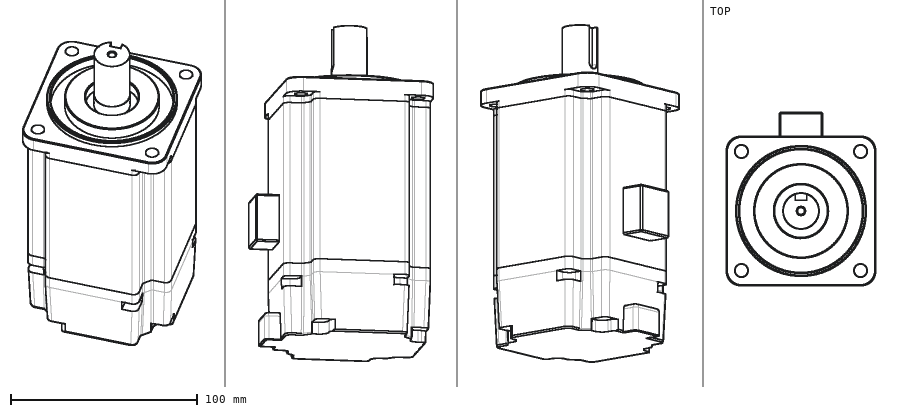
import cadquery as cq
import math


OVERSIZE = 3.5

TOTAL_HEIGHT = 173.3
SHAFT_LENGTH = 35.0
PILOT_HEIGHT = 3.0
BOSS_HEIGHT = 4.0
PLATE_THICKNESS = 8.0
FLANGE_TOP = TOTAL_HEIGHT - SHAFT_LENGTH
PLATE_BOTTOM = FLANGE_TOP - PLATE_THICKNESS
PILOT_TOP = FLANGE_TOP + PILOT_HEIGHT
BOSS_TOP = FLANGE_TOP + BOSS_HEIGHT
STATOR_TOP = 126.7
STATOR_BOTTOM = 39.0
BAND_BOTTOM = 32.0

FRAME_SIZE = 80.0
HALF_FRAME = FRAME_SIZE / 2
CHANNEL_WALL = 26.2
CHANNEL_ROOT = 30.0
CHANNEL_EDGE_RADIUS = 3.1
CHANNEL_ROOT_RADIUS = 1.7

PLATE_CORNER_RADIUS = 8.0
EDGE_CHAMFER = 0.5
BOLT_HOLE_DIAMETER = 7.0
BOLT_SPACING = 63.8
PILOT_RADIUS = 35.0
PILOT_INNER_RADIUS = 33.0
PILOT_GROOVE_FLOOR = 135.5
BOSS_RADIUS = 25.3
BOSS_BORE_RADIUS = 14.2
BOSS_BORE_FLOOR = 136.2

COLLAR_RADIUS = 9.7
COLLAR_TOP = 143.8
SHAFT_RADIUS = 9.5
KEYWAY_WIDTH = 6.0
KEYWAY_FLOOR = 5.9
KEYWAY_LENGTH = 23.2
CENTRE_HOLE_RADIUS = 1.9
CENTRE_HOLE_DEPTH = 10.0
COUNTERSINK_RADIUS = 2.5

CONNECTOR_WIDTH = 23.4
CONNECTOR_REACH = 52.9
CONNECTOR_BOTTOM = 53.4
CONNECTOR_TOP = 79.2
CONNECTOR_CHAMFER = 0.9

DRAFT_ANGLE = 2.0
POCKET_START = 17.3
POCKET_RADIUS = 4.9
REAR_EDGE_HEIGHT = 1.0
REAR_EDGE_INSET = 0.3
SCREW_POCKET_BOTTOM = 26.5
SCREW_POCKET_FLOOR = 30.5
FOOT_POCKET_HEIGHT = 6.4
FOOT_POCKET_FLOOR = 29.3
FOOT_POCKET_END = 25.5
FOOT_MOUTH_RADIUS = 2.8
SIGNAL_BOX_WIDTH = 20.8
SIGNAL_BOX_REACH = 47.8
SIGNAL_BOX_HEIGHT = 15.0
SIGNAL_BOX_RADIUS = 2.0


def quarter_turns(shape):
    """Copies of a Workplane shape at the four quarter turns about Z."""
    return [shape.rotate((0, 0, 0), (0, 0, 1), 90 * i) for i in range(4)]


def box_between(x_range, y_range, z_range):
    """Axis-aligned block between the given limits."""
    size = [limits[1] - limits[0] for limits in (x_range, y_range, z_range)]
    corner = (x_range[0], y_range[0], z_range[0])
    return cq.Workplane("XY").box(*size, centered=False).translate(corner)


def frame_outline(z, inset=0):
    """Closed frame outline at height z, its sides and channel walls moved inward by inset."""
    half_size = HALF_FRAME - inset
    edge = CHANNEL_EDGE_RADIUS
    wall = CHANNEL_WALL - inset
    root = CHANNEL_ROOT
    setback = CHANNEL_ROOT_RADIUS * math.tan(math.radians(22.5))
    diagonal = setback * math.sqrt(0.5)
    corner = [
        (half_size, wall - edge),
        (half_size - edge, wall),
        (root + setback, wall),
        (root - diagonal, wall + diagonal),
        (wall + diagonal, root - diagonal),
        (wall, root + setback),
        (wall, half_size - edge),
        (wall - edge, half_size),
    ]
    start_x, start_y = corner[-1]
    outline = cq.Workplane("XY", origin=(0, 0, z)).moveTo(start_y, -start_x)
    for turn in range(4):
        cos, sin = [(1, 0), (0, 1), (-1, 0), (0, -1)][turn]
        points = [(x * cos - y * sin, x * sin + y * cos) for x, y in corner]
        for line_end, arc_end in zip(points[0::2], points[1::2]):
            outline = outline.lineTo(*line_end).tangentArcPoint(arc_end, relative=False)
    return outline.close()


def frame_prism(bottom, top):
    """Straight length of the frame."""
    return frame_outline(bottom).extrude(top - bottom)


def make_flange_plate():
    """Square mounting plate on a short length of frame."""
    plate = (
        cq.Workplane("XY", origin=(0, 0, PLATE_BOTTOM))
        .rect(FRAME_SIZE, FRAME_SIZE)
        .extrude(PLATE_THICKNESS)
        .edges("|Z")
        .fillet(PLATE_CORNER_RADIUS)
        .faces(">Z")
        .chamfer(EDGE_CHAMFER)
    )
    bolt_holes = (
        cq.Workplane("XY", origin=(0, 0, PLATE_BOTTOM))
        .rect(BOLT_SPACING, BOLT_SPACING, forConstruction=True)
        .vertices()
        .circle(BOLT_HOLE_DIAMETER / 2)
        .extrude(PLATE_THICKNESS)
    )
    return plate.cut(bolt_holes).union(frame_prism(STATOR_TOP, PLATE_BOTTOM))


def make_pilot_face():
    """Revolved front face: pilot ring, groove, central boss and its bore floor."""
    c = EDGE_CHAMFER
    half_section = [
        (0, PLATE_BOTTOM),
        (PILOT_RADIUS, PLATE_BOTTOM),
        (PILOT_RADIUS, PILOT_TOP - c),
        (PILOT_RADIUS - c, PILOT_TOP),
        (PILOT_INNER_RADIUS + c, PILOT_TOP),
        (PILOT_INNER_RADIUS, PILOT_TOP - c),
        (PILOT_INNER_RADIUS, PILOT_GROOVE_FLOOR),
        (BOSS_RADIUS, PILOT_GROOVE_FLOOR),
        (BOSS_RADIUS, BOSS_TOP - c),
        (BOSS_RADIUS - c, BOSS_TOP),
        (BOSS_BORE_RADIUS + c, BOSS_TOP),
        (BOSS_BORE_RADIUS, BOSS_TOP - c),
        (BOSS_BORE_RADIUS, BOSS_BORE_FLOOR),
        (0, BOSS_BORE_FLOOR),
    ]
    return cq.Workplane("XZ").polyline(half_section).close().revolve(360, (0, 0), (0, 1))


def make_keyway():
    """Round-ended keyway tool on the +Y side, open at the shaft end."""
    half_width = KEYWAY_WIDTH / 2
    end_centre = TOTAL_HEIGHT - KEYWAY_LENGTH + half_width
    return (
        cq.Workplane("XZ", origin=(0, KEYWAY_FLOOR, 0))
        .moveTo(-half_width, TOTAL_HEIGHT)
        .lineTo(-half_width, end_centre)
        .threePointArc((0, end_centre - half_width), (half_width, end_centre))
        .lineTo(half_width, TOTAL_HEIGHT)
        .close()
        .extrude(-SHAFT_RADIUS)
    )


def make_centre_hole():
    """Countersunk hole tool with a conical tip in the shaft end."""
    countersink_depth = COUNTERSINK_RADIUS - CENTRE_HOLE_RADIUS
    hole_bottom = TOTAL_HEIGHT - CENTRE_HOLE_DEPTH
    half_section = [
        (0, TOTAL_HEIGHT),
        (COUNTERSINK_RADIUS, TOTAL_HEIGHT),
        (CENTRE_HOLE_RADIUS, TOTAL_HEIGHT - countersink_depth),
        (CENTRE_HOLE_RADIUS, hole_bottom),
        (0, hole_bottom - CENTRE_HOLE_RADIUS),
    ]
    return cq.Workplane("XZ").polyline(half_section).close().revolve(360, (0, 0), (0, 1))


def make_shaft():
    """Output shaft with a slightly wider collar rising from the bore floor of the boss."""
    collar = (
        cq.Workplane("XY", origin=(0, 0, BOSS_BORE_FLOOR))
        .circle(COLLAR_RADIUS)
        .extrude(COLLAR_TOP - BOSS_BORE_FLOOR)
    )
    shaft = (
        cq.Workplane("XY", origin=(0, 0, COLLAR_TOP))
        .circle(SHAFT_RADIUS)
        .extrude(TOTAL_HEIGHT - COLLAR_TOP)
    )
    return collar.union(shaft).cut(make_keyway()).cut(make_centre_hole())


def make_front_flange():
    """Front flange and shaft as one body."""
    groove_clearance = (
        cq.Workplane("XY", origin=(0, 0, PILOT_GROOVE_FLOOR))
        .circle(PILOT_INNER_RADIUS)
        .extrude(PLATE_THICKNESS)
    )
    plate = make_flange_plate().cut(groove_clearance)
    return plate.union(make_pilot_face()).union(make_shaft())


def make_stator():
    """Stator frame carrying the power connector block."""
    connector = (
        box_between(
            (-CONNECTOR_WIDTH / 2, CONNECTOR_WIDTH / 2),
            (0, CONNECTOR_REACH),
            (CONNECTOR_BOTTOM, CONNECTOR_TOP),
        )
        .edges("|Y or >Y")
        .chamfer(CONNECTOR_CHAMFER)
    )
    return frame_prism(STATOR_BOTTOM, STATOR_TOP).union(connector)


def draft_inset(z):
    """Inward shift of the drafted cover sides at height z."""
    return (BAND_BOTTOM - z) * math.tan(math.radians(DRAFT_ANGLE))


def make_cover_shell():
    """Rear cover block: straight band, drafted main part and a narrow bevel round the rear edge."""
    outlines = [
        frame_outline(0, draft_inset(0) + REAR_EDGE_INSET),
        frame_outline(REAR_EDGE_HEIGHT, draft_inset(REAR_EDGE_HEIGHT)),
        frame_outline(BAND_BOTTOM),
        frame_outline(STATOR_BOTTOM),
    ]
    wires = [outline.val() for outline in outlines]
    return cq.Workplane(cq.Solid.makeLoft(wires, True))


def make_screw_pocket():
    """Pocket tool at the +X end of the -Y side, just under the straight band."""
    return (
        box_between(
            (POCKET_START, CHANNEL_WALL + OVERSIZE),
            (-HALF_FRAME - OVERSIZE, -SCREW_POCKET_FLOOR),
            (SCREW_POCKET_BOTTOM, BAND_BOTTOM),
        )
        .edges("|Z and <X and >Y")
        .fillet(POCKET_RADIUS)
    )


def make_foot_pocket():
    """Pocket tool at the -X end of the -Y side, open at the rear, with a flared mouth."""
    rear_side = -HALF_FRAME + draft_inset(0)
    flare_end = -POCKET_START + FOOT_MOUTH_RADIUS
    open_end = -FOOT_POCKET_END
    return (
        cq.Workplane("XY")
        .moveTo(open_end, -FOOT_POCKET_FLOOR)
        .lineTo(-POCKET_START - POCKET_RADIUS, -FOOT_POCKET_FLOOR)
        .tangentArcPoint((-POCKET_START, -FOOT_POCKET_FLOOR - POCKET_RADIUS), relative=False)
        .lineTo(-POCKET_START, rear_side + FOOT_MOUTH_RADIUS)
        .tangentArcPoint((flare_end, rear_side), relative=False)
        .lineTo(flare_end, -HALF_FRAME - OVERSIZE)
        .lineTo(open_end, -HALF_FRAME - OVERSIZE)
        .close()
        .extrude(FOOT_POCKET_HEIGHT)
    )


def make_signal_box():
    """Rounded connector block at the rear of the +Y side."""
    return (
        box_between(
            (-SIGNAL_BOX_WIDTH / 2, SIGNAL_BOX_WIDTH / 2),
            (0, SIGNAL_BOX_REACH),
            (0, SIGNAL_BOX_HEIGHT),
        )
        .edges("(>Z and (|Y or >Y)) or (>Y and |Z)")
        .fillet(SIGNAL_BOX_RADIUS)
        .edges("<Z and >Y")
        .chamfer(REAR_EDGE_HEIGHT, REAR_EDGE_INSET)
    )


def make_rear_cover():
    """Rear cover with its corner pockets and signal connector block."""
    cover = make_cover_shell()
    for pocket in quarter_turns(make_screw_pocket()) + quarter_turns(make_foot_pocket()):
        cover = cover.cut(pocket)
    return cover.union(make_signal_box())


front_flange = make_front_flange()
stator = make_stator()
rear_cover = make_rear_cover()

result = cq.Compound.makeCompound([front_flange.val(), stator.val(), rear_cover.val()])